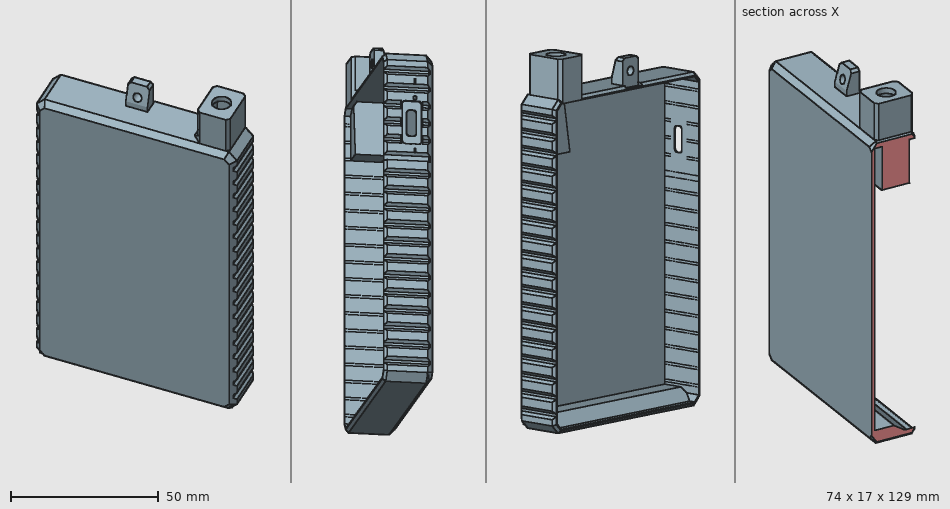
import cadquery as cq
import math

WIDTH = 74.0
DEPTH = 17.0
TOTAL_HEIGHT = 129.0
BODY_HEIGHT = 115.1
CORNER_CHAMFER = 3.0
FRONT_CHAMFER = 2.0
BACK_CHAMFER = 1.0
WALL = 1.4

SIDE_X = WIDTH / 2
FRONT_Y = -DEPTH / 2
BACK_Y = DEPTH / 2
OVERCUT = 1.3

GROOVE_COUNT = 18
GROOVE_SPAN = 101.9
GROOVE_PITCH = GROOVE_SPAN / (GROOVE_COUNT - 1)
GROOVE_DEPTH = 1.0
GROOVE_MOUTH = 3.0
GROOVE_FLOOR = GROOVE_MOUTH - 2 * GROOVE_DEPTH
TOP_GROOVE_Z = (BODY_HEIGHT + GROOVE_SPAN) / 2
SQUARE_GROOVE = 5

PORT_Y = -1.0
PORT_Z = TOP_GROOVE_Z - 3 * GROOVE_PITCH
RECESS_WIDTH = 6.7
RECESS_HEIGHT = 15.1
RECESS_DEPTH = 0.9
SLOT_WIDTH = 3.4
SLOT_HEIGHT = 9.2
PORT_CORNER_RADIUS = 1.2
PAD_BORDER = 0.4

MARK_Y = -2.0
MARK_WIDTH = 0.5
MARK_DEPTH = 0.3
INDICATOR_DIAMETER = 1.2
INDICATOR_Z = 99.2
UPPER_MARK_TOP = 105.9
LOWER_MARK_TOP = 81.4

BOSS_WIDTH = 12.0
BOSS_CHAMFER = 1.2
BOSS_FOOT = 2.0
BOSS_WALL = 2.0
BOSS_RIGHT = SIDE_X - CORNER_CHAMFER
BOSS_LEFT = BOSS_RIGHT - BOSS_WIDTH
BOSS_FRONT = FRONT_Y + FRONT_CHAMFER
BORE_DIAMETER = 6.6
BORE_X = (BOSS_LEFT + BOSS_RIGHT) / 2
BORE_Y = (BOSS_FRONT + BACK_Y) / 2

RAMP_TOE_X = 27.0
RAMP_HEIGHT = 31.0
LEDGE_HEIGHT = 3.9
LEDGE_EDGE_Y = 0.3
LEDGE_TOE_Y = 6.2

TAB_WIDTH = 8.0
TAB_X = -3.5
TAB_HEIGHT = 9.3
TAB_BACK = 6.5
TAB_TOP_THICKNESS = 3.0
TAB_FOOT_THICKNESS = 5.0
TAB_FOOT_HEIGHT = 2.0
TAB_CHAMFER = 1.0
TAB_HOLE_DIAMETER = 3.1
TAB_HOLE_HEIGHT = 4.5
NOTCH_DEPTH = 1.0


def box_between(x_range, y_range, z_range):
    """Box given by its lower and upper limit along each axis."""
    sizes = [high - low for low, high in (x_range, y_range, z_range)]
    corner = (x_range[0], y_range[0], z_range[0])
    return cq.Workplane("XY").box(*sizes, centered=False).translate(corner)


def extrude_along_x(points, x_start, x_end):
    """Prism with a (y, z) outline."""
    prism = cq.Workplane("YZ").polyline(points).close().extrude(x_end - x_start)
    return prism.translate((x_start, 0, 0))


def extrude_along_y(points, y_start, y_end):
    """Prism with an (x, z) outline."""
    prism = cq.Workplane("XZ").polyline(points).close().extrude(y_start - y_end)
    return prism.translate((0, y_start, 0))


def octagon_block(inset, y_start, y_end):
    """Body outline with cut corners, moved inward by an even inset."""
    cut = CORNER_CHAMFER - inset * (2 - math.sqrt(2))
    block = box_between(
        (inset - SIDE_X, SIDE_X - inset), (y_start, y_end), (inset, BODY_HEIGHT - inset)
    )
    return block.edges("|Y").chamfer(cut)


def make_shell():
    body = octagon_block(0, FRONT_Y, BACK_Y)
    body = body.faces("<Y").chamfer(FRONT_CHAMFER)
    body = body.faces(">Y").chamfer(BACK_CHAMFER)
    return body.cut(octagon_block(WALL, FRONT_Y + WALL, BACK_Y + OVERCUT))


def make_groove(side, z_center, square_bottom=False):
    """Trapezoidal groove cutter; side is -1 for the -X wall and 1 for the +X wall."""
    mouth_x = side * SIDE_X
    floor_x = side * (SIDE_X - GROOVE_DEPTH)
    outside_x = side * (SIDE_X + OVERCUT)
    top = z_center + GROOVE_MOUTH / 2
    bottom = z_center - GROOVE_MOUTH / 2
    floor_top = z_center + GROOVE_FLOOR / 2
    floor_bottom = bottom if square_bottom else z_center - GROOVE_FLOOR / 2
    outline = [(outside_x, top), (mouth_x, top), (floor_x, floor_top), (floor_x, floor_bottom)]
    if not square_bottom:
        outline.append((mouth_x, bottom))
    outline.append((outside_x, bottom))
    return extrude_along_y(outline, FRONT_Y - OVERCUT, BACK_Y + OVERCUT)


def cut_grooves(body):
    for index in range(GROOVE_COUNT):
        z_center = TOP_GROOVE_Z - index * GROOVE_PITCH
        body = body.cut(make_groove(-1, z_center, index == SQUARE_GROOVE))
        body = body.cut(make_groove(1, z_center))
    return body


def port_block(width, height, x_start, x_end):
    block = box_between(
        (x_start, x_end),
        (PORT_Y - width / 2, PORT_Y + width / 2),
        (PORT_Z - height / 2, PORT_Z + height / 2),
    )
    return block.edges("|X").fillet(PORT_CORNER_RADIUS)


def make_port_pad():
    """Pad filling the grooves around the recess, flush with the ribs."""
    half_width = RECESS_WIDTH / 2 + PAD_BORDER
    half_height = GROOVE_PITCH + GROOVE_MOUTH / 2
    return box_between(
        (-SIDE_X, GROOVE_DEPTH - SIDE_X),
        (PORT_Y - half_width, PORT_Y + half_width),
        (PORT_Z - half_height, PORT_Z + half_height),
    )


def make_port_opening():
    recess = port_block(
        RECESS_WIDTH, RECESS_HEIGHT, -SIDE_X - OVERCUT, RECESS_DEPTH - SIDE_X
    )
    slot = port_block(SLOT_WIDTH, SLOT_HEIGHT, -SIDE_X - OVERCUT, WALL + OVERCUT - SIDE_X)
    return recess.union(slot)


def make_mark(z_bottom, z_top):
    """Vertical hairline cutter with rounded ends."""
    length = z_top - z_bottom
    mark = cq.Workplane("YZ").slot2D(length, MARK_WIDTH, 90).extrude(MARK_DEPTH)
    return mark.translate((-SIDE_X, MARK_Y, (z_bottom + z_top) / 2))


def make_markings():
    upper_mark_end = TOP_GROOVE_Z - GROOVE_PITCH + GROOVE_MOUTH / 2
    lower_mark_end = TOP_GROOVE_Z - SQUARE_GROOVE * GROOVE_PITCH + GROOVE_MOUTH / 2
    indicator = cq.Workplane("YZ").circle(INDICATOR_DIAMETER / 2).extrude(MARK_DEPTH)
    markings = indicator.translate((-SIDE_X, MARK_Y, INDICATOR_Z))
    markings = markings.union(make_mark(upper_mark_end, UPPER_MARK_TOP))
    markings = markings.union(make_mark(PORT_Z + RECESS_HEIGHT / 2, INDICATOR_Z))
    return markings.union(make_mark(lower_mark_end, LOWER_MARK_TOP))


def make_boss():
    """Square post with cut corners and a sloped foot on its -X side."""
    profile = [
        (BOSS_LEFT - BOSS_FOOT, BODY_HEIGHT - WALL),
        (BOSS_LEFT - BOSS_FOOT, BODY_HEIGHT),
        (BOSS_LEFT, BODY_HEIGHT + BOSS_FOOT),
        (BOSS_LEFT, TOTAL_HEIGHT),
        (BOSS_RIGHT, TOTAL_HEIGHT),
        (BOSS_RIGHT, BODY_HEIGHT - WALL),
    ]
    post = extrude_along_y(profile, BOSS_FRONT, BACK_Y)
    envelope = box_between(
        (BOSS_LEFT - BOSS_FOOT, BOSS_RIGHT),
        (BOSS_FRONT, BACK_Y),
        (BODY_HEIGHT - WALL, TOTAL_HEIGHT),
    )
    envelope = envelope.edges("|Z and <X").chamfer(BOSS_CHAMFER + BOSS_FOOT)
    envelope = envelope.edges("|Z and >X").chamfer(BOSS_CHAMFER)
    return post.intersect(envelope)


def make_boss_passage():
    """Bore through the top of the boss and the square passage below it."""
    bore = cq.Workplane("XY").circle(BORE_DIAMETER / 2).extrude(BOSS_WALL + OVERCUT)
    passage = box_between(
        (BOSS_LEFT + BOSS_WALL, BOSS_RIGHT - BOSS_WALL),
        (BOSS_FRONT + BOSS_WALL, BACK_Y - BOSS_WALL),
        (BODY_HEIGHT - WALL - OVERCUT, TOTAL_HEIGHT - BOSS_WALL),
    )
    return passage.union(bore.translate((BORE_X, BORE_Y, TOTAL_HEIGHT - BOSS_WALL)))


def make_ramp():
    wall_x = SIDE_X - WALL
    passage_right = BOSS_RIGHT - BOSS_WALL
    ramp_top = TOTAL_HEIGHT - BOSS_WALL
    ramp_bottom = ramp_top - RAMP_HEIGHT
    outline = [
        (passage_right, ramp_top),
        (RAMP_TOE_X, ramp_bottom),
        (wall_x, ramp_bottom),
        (wall_x, BODY_HEIGHT - CORNER_CHAMFER),
        (passage_right, BODY_HEIGHT - WALL),
    ]
    return extrude_along_y(outline, BOSS_FRONT + BOSS_WALL, BACK_Y - BOSS_WALL)


def make_ledge():
    """Raised floor along the front wall, sloping down toward the open back."""
    inner_front = FRONT_Y + WALL
    ledge_top = WALL + LEDGE_HEIGHT
    outline = [
        (inner_front, WALL),
        (inner_front, ledge_top),
        (LEDGE_EDGE_Y, ledge_top),
        (LEDGE_TOE_Y, WALL),
    ]
    half_length = SIDE_X - WALL
    ledge = extrude_along_x(outline, -half_length, half_length)
    return ledge.intersect(octagon_block(0, FRONT_Y, BACK_Y))


def make_tab():
    tab_top = BODY_HEIGHT + TAB_HEIGHT
    foot_top = BODY_HEIGHT + TAB_FOOT_HEIGHT
    foot_front = TAB_BACK - TAB_FOOT_THICKNESS
    profile = [
        (TAB_BACK, BODY_HEIGHT - WALL),
        (TAB_BACK, tab_top),
        (TAB_BACK - TAB_TOP_THICKNESS, tab_top),
        (foot_front, foot_top),
        (foot_front, BODY_HEIGHT - WALL),
    ]
    tab = extrude_along_x(profile, TAB_X - TAB_WIDTH / 2, TAB_X + TAB_WIDTH / 2)
    tab = tab.faces(">Z").edges("|Y").chamfer(TAB_CHAMFER)
    hole = cq.Workplane("XZ").circle(TAB_HOLE_DIAMETER / 2).extrude(DEPTH, both=True)
    return tab.cut(hole.translate((TAB_X, 0, BODY_HEIGHT + TAB_HOLE_HEIGHT)))


def make_tab_notch():
    return box_between(
        (TAB_X - TAB_WIDTH / 2, TAB_X + TAB_WIDTH / 2),
        (TAB_BACK, BACK_Y + OVERCUT),
        (BODY_HEIGHT - NOTCH_DEPTH, BODY_HEIGHT + OVERCUT),
    )


housing = cut_grooves(make_shell())
housing = housing.union(make_port_pad()).cut(make_port_opening()).cut(make_markings())
housing = housing.union(make_boss()).cut(make_boss_passage())
housing = housing.union(make_ramp()).union(make_ledge())
result = housing.union(make_tab()).cut(make_tab_notch())